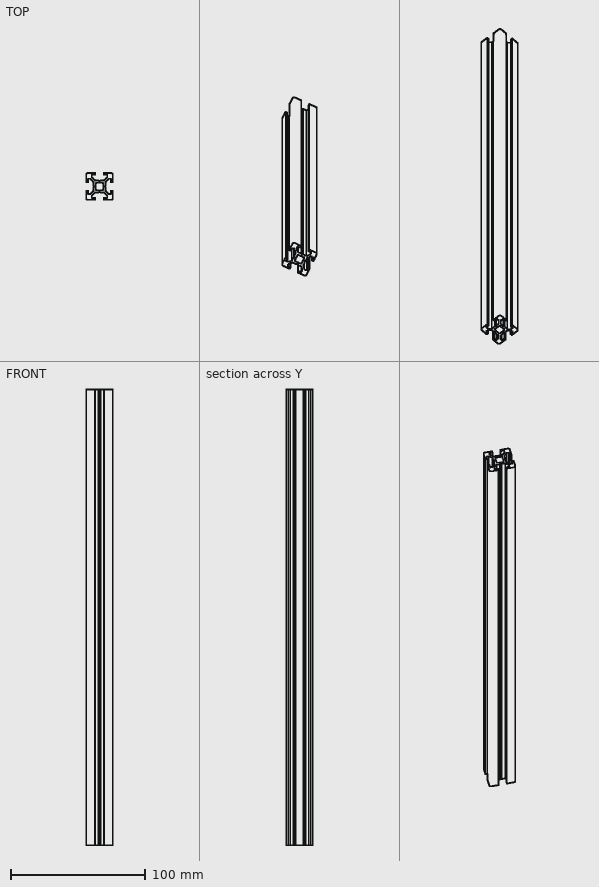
import cadquery as cq
import math

length = 340.0
width = 20.0
corner_radius = 1.5

mouth_width = 6.5
lip_thickness = 1.5
chamber_width = 11.2
web_thickness = 1.7

core_width = 9.2
bore_width = 5.5
bore_radius = 0.5

groove_width = 1.5
groove_depth = 0.5

half_width = width / 2
half_core = core_width / 2
slot_count = 4


def slot_cutter():
    """Cutter for the slot that opens toward +Y, including its floor groove."""
    half_mouth = mouth_width / 2
    half_chamber = chamber_width / 2
    chamber_top = half_width - lip_thickness
    flank_offset = web_thickness / math.sqrt(2)
    half_floor = half_core - flank_offset
    flank_top = half_chamber + flank_offset
    right_side = [
        (groove_width / 2, half_core),
        (half_floor, half_core),
        (half_chamber, flank_top),
        (half_chamber, chamber_top),
        (half_mouth, chamber_top),
        (half_mouth, half_width),
    ]
    left_side = [(-x, y) for x, y in reversed(right_side)]
    groove_bottom = (0, half_core - groove_depth)
    outline = [groove_bottom] + right_side + left_side
    return cq.Workplane("XY").polyline(outline).close().extrude(length)


bar = cq.Workplane("XY").rect(width, width).extrude(length)
bar = bar.edges("|Z").fillet(corner_radius)

bore = cq.Workplane("XY").rect(bore_width, bore_width).extrude(length)
bore = bore.edges("|Z").fillet(bore_radius)
bar = bar.cut(bore)

slot = slot_cutter()
for index in range(slot_count):
    turn = 360 / slot_count * index
    bar = bar.cut(slot.rotate((0, 0, 0), (0, 0, 1), turn))

result = bar